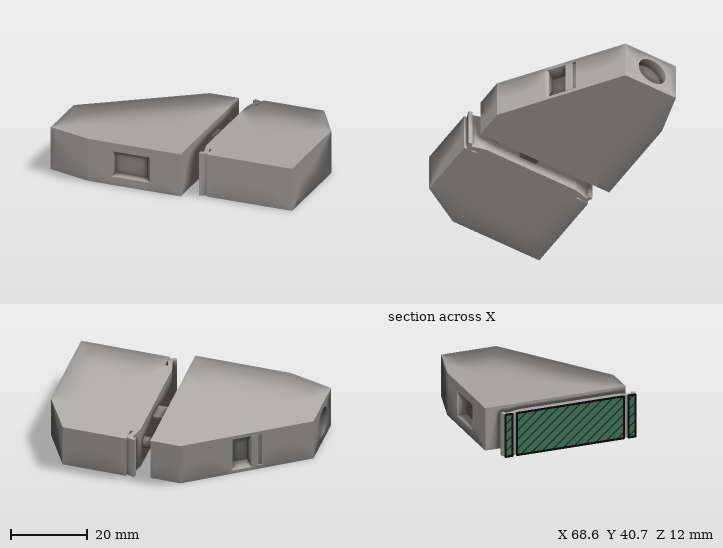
import cadquery as cq
import math

TOTAL_LENGTH = 68.6
TOTAL_WIDTH = 40.7
THICKNESS = 12.0
MID_Z = THICKNESS / 2

PLUG_LENGTH = 38.15
PLUG_WIDTH = 39.65
NOSE_LOW_Y = 3.2
NOSE_HIGH_Y = 18.7
BEVEL_END_X = 12.0
SLOPE_END_X = 29.9

ENTRY_Y = 10.5
ENTRY_DIAMETER = 8.3
ENTRY_DEPTH = 2.75

WINDOW_START_X = 18.65
WINDOW_END_X = 29.4
WINDOW_FLOOR_END_X = 27.6
WINDOW_HEIGHT = 7.2
WINDOW_DEPTH = 2.75

SLOT_LOW_Y = 26.8
SLOT_HEIGHT = 9.95
SLOT_LENGTH = 8.8
SLOT_DEPTH = 3.8
SHELF_DEPTH = 2.7
SHELF_START = 7.95
SLOT_LIP_RADIUS = 1.0
SLOT_LIP_ANGLE = 60.0
TOE_GAP_DEPTH = 0.55
LATCH_START = 0.95
LATCH_END = 2.9
LATCH_RISE = 0.1
LATCH_RADIUS = 0.3

ROUND_PIN_Y = 32.65
ROUND_PIN_DIAMETER = 3.0
SQUARE_PIN_Y = 22.65
SQUARE_PIN_WIDTH = 5.15
SQUARE_PIN_HEIGHT = 6.05

SOCKET_FACE_X = 42.05
SOCKET_BACK_X = 44.45
SOCKET_LOW_Y = 2.55
SOCKET_MID_Y = (SOCKET_LOW_Y + TOTAL_WIDTH) / 2
SOCKET_HALF_WIDTH = (TOTAL_WIDTH - SOCKET_LOW_Y) / 2
CHAMFER_START_X = 61.8
CHAMFER_END_Y = 29.15

CLIP_ROOT = 13.8
CLIP_SLOT_FLOOR = 15.2
CLIP_SLOT_FLOOR_X = 43.55
CLIP_NECK_X = 43.1
CLIP_NECK = 17.7
CLIP_BARB_TIP = 18.0
CLIP_TOP_X = 42.3
CLIP_END_X = 44.4
CLIP_END_TOP = 18.3
CLIP_END_BOTTOM = 17.3


def prism(points, bottom=0.0, height=THICKNESS):
    """Extrude a closed XY polygon along Z."""
    return cq.Workplane("XY").workplane(offset=bottom).polyline(points).close().extrude(height)


def plug_housing():
    return prism([
        (0, NOSE_LOW_Y),
        (BEVEL_END_X, 0),
        (PLUG_LENGTH, 0),
        (PLUG_LENGTH, PLUG_WIDTH),
        (SLOPE_END_X, PLUG_WIDTH),
        (0, NOSE_HIGH_Y),
    ])


def cable_entry():
    return (
        cq.Workplane("YZ")
        .center(ENTRY_Y, MID_Z)
        .circle(ENTRY_DIAMETER / 2)
        .extrude(ENTRY_DEPTH)
    )


def window():
    points = [
        (WINDOW_START_X, 0),
        (WINDOW_END_X, 0),
        (WINDOW_FLOOR_END_X, WINDOW_DEPTH),
        (WINDOW_START_X, WINDOW_DEPTH),
    ]
    return prism(points, MID_Z - WINDOW_HEIGHT / 2, WINDOW_HEIGHT)


def slope_plane():
    """Plane with x running up the slope and y pointing out of the sloped face."""
    slope_run = SLOPE_END_X
    slope_rise = PLUG_WIDTH - NOSE_HIGH_Y
    low_x = (SLOT_LOW_Y - NOSE_HIGH_Y) * slope_run / slope_rise
    bottom_z = MID_Z - SLOT_HEIGHT / 2
    return cq.Plane(
        origin=(low_x, SLOT_LOW_Y, bottom_z), xDir=(slope_run, slope_rise, 0), normal=(0, 0, 1)
    )


def latch_slot():
    """Slot whose high end has a rounded lip leading down to a shelf."""
    lip_turn = math.radians(SLOT_LIP_ANGLE)
    lip_mid = (
        SLOT_LENGTH - SLOT_LIP_RADIUS * math.sin(lip_turn / 2),
        -SLOT_LIP_RADIUS * (1 - math.cos(lip_turn / 2)),
    )
    lip_end = (
        SLOT_LENGTH - SLOT_LIP_RADIUS * math.sin(lip_turn),
        -SLOT_LIP_RADIUS * (1 - math.cos(lip_turn)),
    )
    return (
        cq.Workplane(slope_plane())
        .moveTo(0, 0)
        .lineTo(SLOT_LENGTH, 0)
        .threePointArc(lip_mid, lip_end)
        .lineTo(SHELF_START, -SHELF_DEPTH)
        .lineTo(SHELF_START, -SLOT_DEPTH)
        .lineTo(0, -SLOT_DEPTH)
        .close()
        .extrude(SLOT_HEIGHT)
    )


def latch():
    """Latch standing in the slot, with a low toe and a rounded nose; its outer face stands slightly proud."""
    return (
        cq.Workplane(slope_plane())
        .polyline([
            (0, -SLOT_DEPTH),
            (LATCH_END, -SLOT_DEPTH),
            (LATCH_END, LATCH_RISE),
            (LATCH_START, LATCH_RISE),
            (LATCH_START, -TOE_GAP_DEPTH),
            (0, -TOE_GAP_DEPTH),
        ])
        .close()
        .extrude(SLOT_HEIGHT)
        .edges(cq.selectors.NearestToPointSelector(nose_point()))
        .fillet(LATCH_RADIUS)
    )


def nose_point():
    """Middle of the latch's proud edge, in part coordinates."""
    return slope_plane().toWorldCoords((LATCH_START, LATCH_RISE, SLOT_HEIGHT / 2)).toTuple()


def pins():
    gap = SOCKET_FACE_X - PLUG_LENGTH
    start = cq.Workplane("YZ").workplane(offset=PLUG_LENGTH)
    round_pin = start.center(ROUND_PIN_Y, MID_Z).circle(ROUND_PIN_DIAMETER / 2).extrude(gap)
    square_pin = start.center(SQUARE_PIN_Y, MID_Z).rect(SQUARE_PIN_WIDTH, SQUARE_PIN_HEIGHT).extrude(gap)
    return round_pin.union(square_pin)


def clip_points(side):
    """Clip outline from the socket face to the back of the clip slot; side is +1 or -1."""
    profile = [
        (SOCKET_FACE_X, CLIP_ROOT),
        (CLIP_NECK_X, CLIP_NECK),
        (SOCKET_FACE_X, CLIP_BARB_TIP),
        (CLIP_TOP_X, SOCKET_HALF_WIDTH),
        (CLIP_END_X, CLIP_END_TOP),
        (CLIP_END_X, CLIP_END_BOTTOM),
        (CLIP_SLOT_FLOOR_X, CLIP_SLOT_FLOOR),
        (SOCKET_BACK_X, CLIP_SLOT_FLOOR),
    ]
    return [(x, SOCKET_MID_Y + side * height) for x, height in profile]


def socket_housing():
    body_points = [
        (SOCKET_BACK_X, TOTAL_WIDTH),
        (CHAMFER_START_X, TOTAL_WIDTH),
        (TOTAL_LENGTH, CHAMFER_END_Y),
        (TOTAL_LENGTH, SOCKET_LOW_Y),
        (SOCKET_BACK_X, SOCKET_LOW_Y),
    ]
    return prism(clip_points(1) + body_points + clip_points(-1)[::-1])


plug = plug_housing().cut(cable_entry()).cut(window()).cut(latch_slot()).union(latch())
result = plug.union(pins()).union(socket_housing())